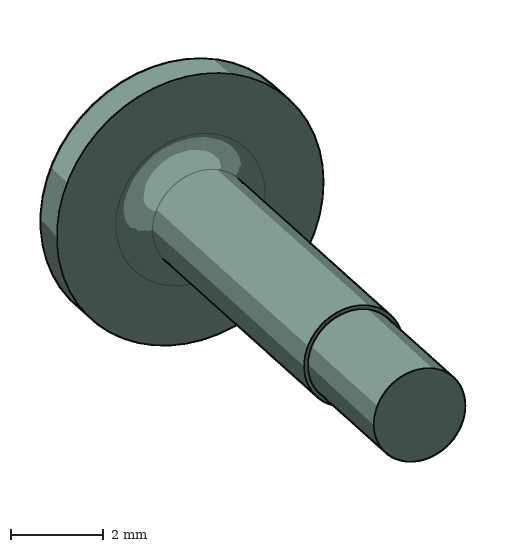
import cadquery as cq

total_length = 12.4
head_diameter = 6.39
head_thickness = 0.9
head_edge_radius = 0.1
shank_diameter = 2.38
shank_end = 9.1
tip_diameter = 2.2
neck_fillet_radius = 0.6


def cylinder(diameter, start, end):
    """Solid cylinder on the X axis between two X positions."""
    return cq.Workplane("YZ", origin=(start, 0, 0)).circle(diameter / 2).extrude(end - start)


head = cylinder(head_diameter, 0, head_thickness).faces("<X").edges().fillet(head_edge_radius)

shank = cylinder(shank_diameter, head_thickness, shank_end)
tip = cylinder(tip_diameter, shank_end, total_length)

shank_radius = shank_diameter / 2
neck_end = head_thickness + neck_fillet_radius
neck_radius = shank_radius + neck_fillet_radius
arc_inset = neck_fillet_radius * (1 - 0.5 ** 0.5)
neck = (
    cq.Workplane("XY")
    .moveTo(head_thickness, 0)
    .lineTo(head_thickness, neck_radius)
    .threePointArc(
        (head_thickness + arc_inset, shank_radius + arc_inset),
        (neck_end, shank_radius),
    )
    .lineTo(neck_end, 0)
    .close()
    .revolve(360, (0, 0, 0), (1, 0, 0))
)

result = head.union(shank).union(neck).union(tip)